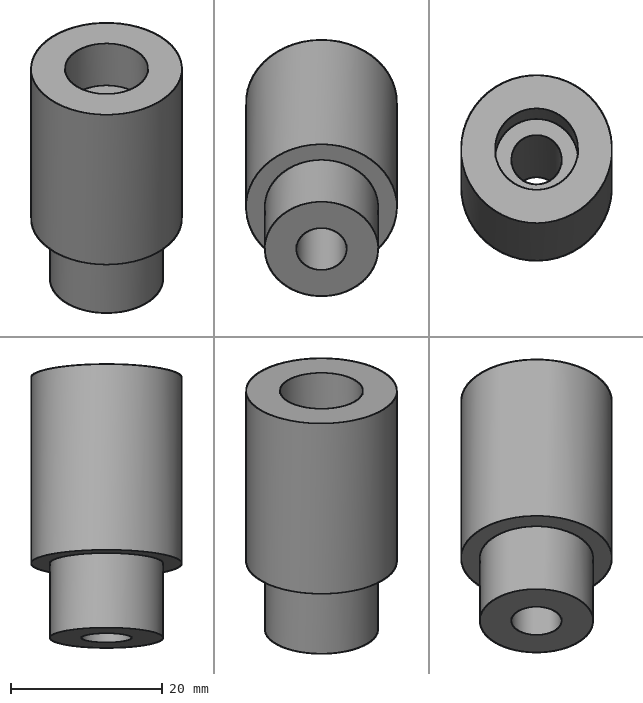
import cadquery as cq

total_length = 35.0
body_diameter = 20.0
spigot_diameter = 15.0
spigot_length = 10.0

counterbore_diameter = 11.0
counterbore_depth = 7.0
hole_diameter = 6.65

spigot = cq.Workplane("XY").circle(spigot_diameter / 2).extrude(spigot_length)

body = (
    cq.Workplane("XY")
    .workplane(offset=spigot_length)
    .circle(body_diameter / 2)
    .extrude(total_length - spigot_length)
)

result = (
    spigot.union(body)
    .faces(">Z")
    .workplane()
    .cboreHole(hole_diameter, counterbore_diameter, counterbore_depth)
)